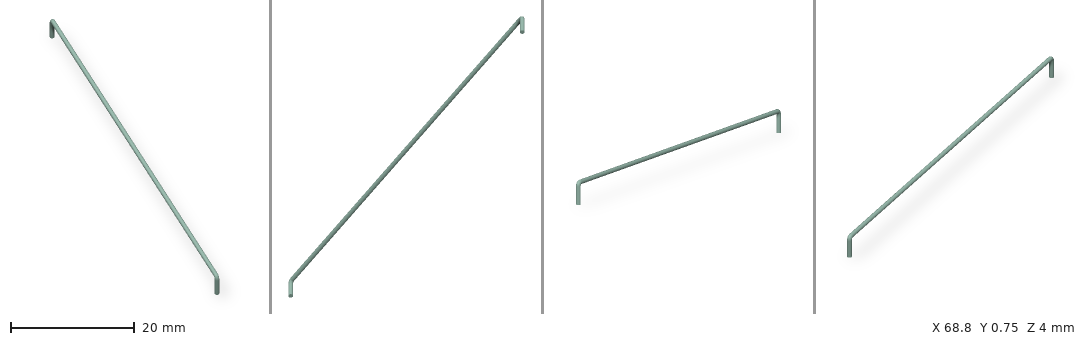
import cadquery as cq

length = 68.75
height = 4.0
wire_diameter = 0.75
bend_radius = 0.55

wire_radius = wire_diameter / 2
leg_x = length / 2 - wire_radius
leg_bottom = -height / 2
bar_z = height / 2 - wire_radius
bend_z = bar_z - bend_radius
bar_end_x = leg_x - bend_radius


def leg(x):
    """Straight vertical leg from its open end up to the bend."""
    return (
        cq.Workplane("XY", origin=(x, 0, leg_bottom))
        .circle(wire_radius)
        .extrude(bend_z - leg_bottom)
    )


def bend(side):
    """Quarter-turn elbow joining a leg to the bar; side is -1 or 1."""
    return (
        cq.Workplane("XY", origin=(side * leg_x, 0, bend_z))
        .circle(wire_radius)
        .revolve(90, (-side * bend_radius, 0), (-side * bend_radius, -side))
    )


bar = (
    cq.Workplane("YZ", origin=(-bar_end_x, 0, bar_z))
    .circle(wire_radius)
    .extrude(2 * bar_end_x)
)

result = bar
for side in (-1, 1):
    result = result.union(bend(side)).union(leg(side * leg_x))